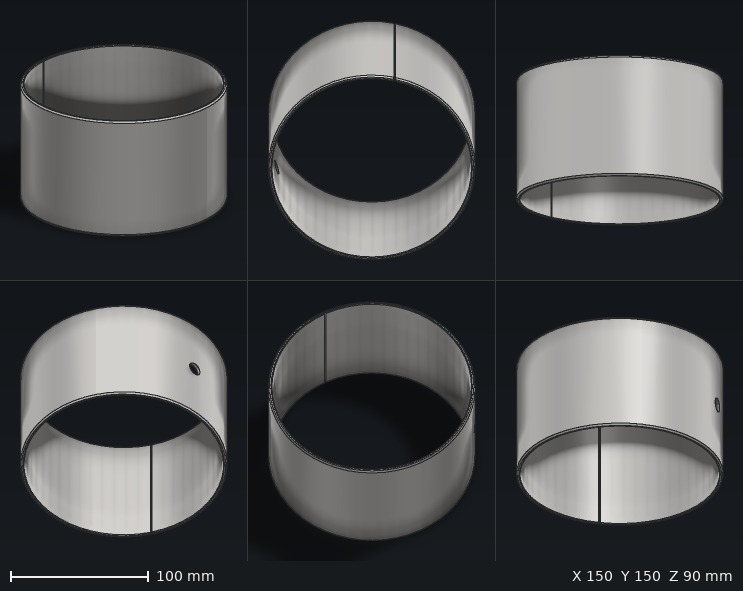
import cadquery as cq
import math

outer_diameter = 150
height = 90
wall = 2.5
slit_width = 1.2
hole_diameter = 10.0
hole_angle = 59
outer_chamfer_length = 1.5
outer_chamfer_depth = 0.9
inner_chamfer = 0.6

outer_radius = outer_diameter / 2
inner_radius = outer_radius - wall


def make_ring():
    """Revolve the wall section, chamfered at both ends inside and outside."""
    section = [
        (inner_radius + inner_chamfer, 0),
        (outer_radius - outer_chamfer_depth, 0),
        (outer_radius, outer_chamfer_length),
        (outer_radius, height - outer_chamfer_length),
        (outer_radius - outer_chamfer_depth, height),
        (inner_radius + inner_chamfer, height),
        (inner_radius, height - inner_chamfer),
        (inner_radius, inner_chamfer),
    ]
    return cq.Workplane("XZ").polyline(section).close().revolve(360, (0, 0, 0), (0, 1, 0))


def make_slit():
    """Full-height cutter through the wall on the -X side."""
    slit = cq.Workplane("XY").box(outer_diameter, slit_width, height, centered=False)
    return slit.translate((-outer_diameter, 0, 0))


def make_hole():
    """Radial cutter through one side of the wall at mid height."""
    angle = math.radians(hole_angle)
    radial = cq.Vector(math.cos(angle), math.sin(angle), 0)
    plane = cq.Plane(origin=(0, 0, height / 2), normal=radial)
    return cq.Workplane(plane).circle(hole_diameter / 2).extrude(outer_diameter)


result = make_ring().cut(make_slit()).cut(make_hole())